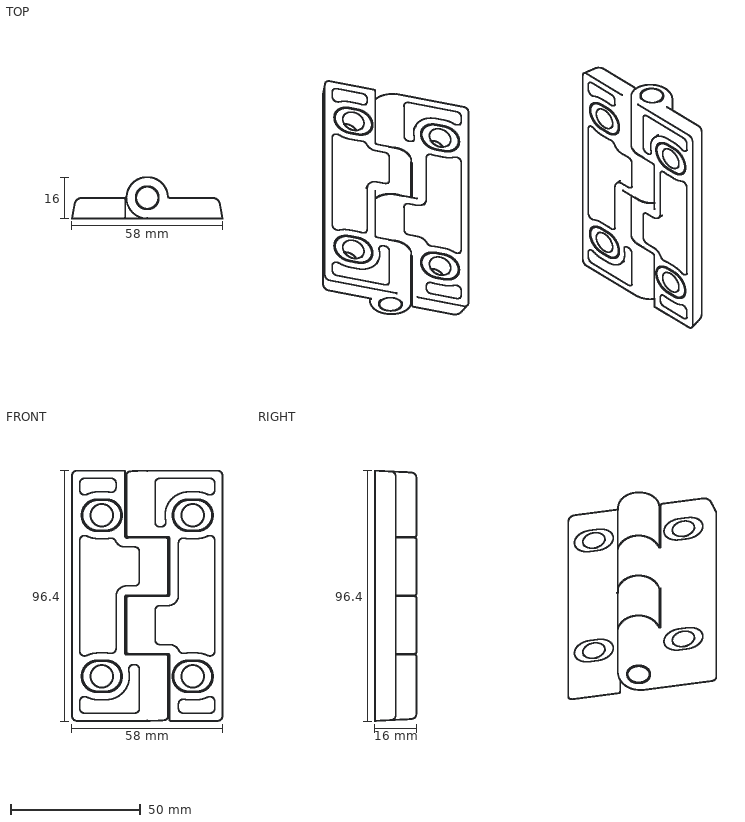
import cadquery as cq
import math


LEAF_REACH = 29.0
HALF_LENGTH = 48.22
PLATE_THICKNESS = 8.0
SIDE_DRAFT = math.radians(10.0)
END_DRAFT = math.radians(3.0)
SIDE_ROUND = 3.0
END_ROUND = 2.0
END_ROUND_RUNOUT = 0.25

KNUCKLE_RADIUS = 8.0
KNUCKLE_ROOT_ROUND = 0.6
JOINT_POSITIONS = (-22.5, 0.0, 22.5)
WASHER_RADIUS = 7.4
WASHER_THICKNESS = 0.35
NOTCH_WALL = 8.5
NOTCH_ROUND = 0.6

PIN_RADIUS = 4.5
PIN_HALF_LENGTH = 47.7
PIN_CHAMFER = 0.3

SCREW_X = 17.5
SCREW_Z = 31.0
SCREW_HOLE_RADIUS = 4.3
BUSHING_END_RADIUS = 5.95
BUSHING_END_SPACING = 3.3
BUSHING_CHAMFER = 0.2
SEAT_RIM_BEVEL = 0.25

POCKET_DEPTH = 3.0
POCKET_FLOOR_ROUND = 1.0
POCKET_CORNER_RADIUS = 1.9
POCKET_BEND_RADIUS = 4.0
BUSHING_WALL_RADIUS = 9.0
POCKET_OUTER_X = -26.0
POCKET_MIDDLE_X = -12.0
POCKET_INNER_X = -3.0
POCKET_END_Z = 45.2
BAY_LOW_Z = 3.8
BAY_HIGH_Z = 18.8
CORNER_POCKET_HIGH_Z = -26.5

MARGIN = 1.0
NEAR = 0.01
CYLINDER_START_ANGLE = 225
FULL_HEIGHT = 2 * KNUCKLE_RADIUS
PIN_AXIS_Y = KNUCKLE_RADIUS
HALF_WASHER = WASHER_THICKNESS / 2
LOW_JOINT, MIDDLE_JOINT, HIGH_JOINT = JOINT_POSITIONS


def box(x_range, y_range, z_range):
    sizes = [high - low for low, high in (x_range, y_range, z_range)]
    corner = cq.Vector(x_range[0], y_range[0], z_range[0])
    return cq.Workplane(cq.Solid.makeBox(*sizes, pnt=corner))


def cylinder_on_pin_axis(radius, length, center_z):
    """The start line of the cylinder is turned down into the left plate."""
    return (
        cq.Workplane("XY", origin=(0, PIN_AXIS_Y, center_z))
        .transformed(rotate=(0, 0, CYLINDER_START_ANGLE))
        .circle(radius)
        .extrude(length / 2, both=True)
    )


def oblong(end_radius, z, depth):
    """Oblong prism on a screw position of the left leaf, standing on the underside."""
    return (
        cq.Workplane("XZ", origin=(-SCREW_X, 0, z))
        .slot2D(BUSHING_END_SPACING + 2 * end_radius, 2 * end_radius)
        .extrude(-depth)
    )




def drafted_ends():
    """Block whose two ends lean inward with height."""
    half_at_foot = HALF_LENGTH + MARGIN * math.tan(END_DRAFT)
    half_at_top = HALF_LENGTH - FULL_HEIGHT * math.tan(END_DRAFT)
    corners = [
        (-MARGIN, -half_at_foot),
        (FULL_HEIGHT, -half_at_top),
        (FULL_HEIGHT, half_at_top),
        (-MARGIN, half_at_foot),
    ]
    return cq.Workplane("YZ").polyline(corners).close().extrude(2 * LEAF_REACH, both=True)


def round_ends(blank):
    """End rounds keep their size along the plate and fade out around the knuckle."""
    rounder = cq.occ_impl.shapes.BRepFilletAPI_MakeFillet(blank.val().wrapped)
    for end_z in (-HALF_LENGTH, HALF_LENGTH):
        on_rim = cq.selectors.NearestToPointSelector((-LEAF_REACH / 2, PLATE_THICKNESS, end_z))
        plate_rim = blank.edges("|X").edges(on_rim).val()
        rounder.Add(END_ROUND, plate_rim.wrapped)
    for rim in range(1, rounder.NbContours() + 1):
        last_edge = rounder.NbEdges(rim)
        if cq.Edge(rounder.Edge(rim, 1)).geomType() == "LINE":
            rounder.SetRadius(END_ROUND, END_ROUND_RUNOUT, rim, last_edge)
        else:
            rounder.SetRadius(END_ROUND_RUNOUT, END_ROUND, rim, 1)
    return cq.Workplane(cq.Shape.cast(rounder.Shape())).solids()


def leaf_blank():
    outer_at_foot = -LEAF_REACH - MARGIN * math.tan(SIDE_DRAFT)
    outer_at_top = -LEAF_REACH + PLATE_THICKNESS * math.tan(SIDE_DRAFT)
    section = [
        (outer_at_foot, -MARGIN),
        (0, -MARGIN),
        (0, PLATE_THICKNESS),
        (outer_at_top, PLATE_THICKNESS),
    ]
    half_stock = HALF_LENGTH + MARGIN
    plate = cq.Workplane("XY").polyline(section).close().extrude(half_stock, both=True)
    plate = plate.edges("|Z").edges(">Y").edges("<X").fillet(SIDE_ROUND)
    blank = plate.union(cylinder_on_pin_axis(KNUCKLE_RADIUS, 2 * half_stock, 0))
    at_root = cq.selectors.NearestToPointSelector((-KNUCKLE_RADIUS, PLATE_THICKNESS, 0))
    blank = blank.edges("|Z").edges(at_root).fillet(KNUCKLE_ROOT_ROUND)
    blank = round_ends(blank.intersect(drafted_ends()))
    overhang = box((-2 * LEAF_REACH, LEAF_REACH), (-2 * MARGIN, 0), (-2 * HALF_LENGTH, 2 * HALF_LENGTH))
    return blank.cut(overhang)


def cut_notch(leaf, z_low, z_high):
    """Clearance for one knuckle of the other leaf, with its rim rounded."""
    space = box((-NOTCH_WALL, FULL_HEIGHT), (-MARGIN, FULL_HEIGHT + MARGIN), (z_low, z_high))
    leaf = leaf.cut(space.edges("|Y and <X").fillet(NOTCH_ROUND))
    in_notch = cq.selectors.BoxSelector(
        (-NOTCH_WALL - NEAR, -NEAR, z_low - NEAR),
        (FULL_HEIGHT, FULL_HEIGHT + NEAR, z_high + NEAR),
        boundingbox=True,
    )
    return leaf.edges(in_notch).edges("not |Y").fillet(NOTCH_ROUND)


def bushing_seat(z):
    """Oblong hole through the plate, widening to a bevelled rim at the underside."""
    hole = oblong(BUSHING_END_RADIUS, z, PLATE_THICKNESS + MARGIN)
    rim_radius = BUSHING_END_RADIUS + SEAT_RIM_BEVEL
    rim = (
        cq.Workplane("XZ", origin=(-SCREW_X, 0, z))
        .slot2D(BUSHING_END_SPACING + 2 * rim_radius, 2 * rim_radius)
        .workplane(offset=-SEAT_RIM_BEVEL)
        .slot2D(BUSHING_END_SPACING + 2 * BUSHING_END_RADIUS, 2 * BUSHING_END_RADIUS)
        .loft()
    )
    return hole.union(rim)




def pocket(*zones):
    """Pocket over the given (x range, z range) zones, kept clear of the bushings."""
    depth_range = (0, POCKET_DEPTH)
    rough = box(zones[0][0], depth_range, zones[0][1])
    for x_range, z_range in zones[1:]:
        rough = rough.union(box(x_range, depth_range, z_range))
    for z in (-SCREW_Z, SCREW_Z):
        rough = rough.cut(oblong(BUSHING_WALL_RADIUS, z, POCKET_DEPTH))
    outline = rough.faces("<Y").wires().val()
    rounded = (
        cq.Workplane("XZ")
        .add(outline)
        .toPending()
        .offset2D(-POCKET_CORNER_RADIUS)
        .offset2D(POCKET_CORNER_RADIUS + POCKET_BEND_RADIUS)
        .offset2D(-POCKET_BEND_RADIUS)
        .extrude(-POCKET_DEPTH)
    )
    return rounded.faces(">Y").edges().fillet(POCKET_FLOOR_ROUND)


def pockets():
    narrow = (POCKET_OUTER_X, POCKET_MIDDLE_X)
    wide = (POCKET_OUTER_X, POCKET_INNER_X)
    bay = (POCKET_MIDDLE_X - MARGIN, POCKET_INNER_X)
    return [
        pocket((narrow, (SCREW_Z, POCKET_END_Z))),
        pocket((narrow, (-SCREW_Z, SCREW_Z)), (bay, (BAY_LOW_Z, BAY_HIGH_Z))),
        pocket((wide, (-POCKET_END_Z, CORNER_POCKET_HIGH_Z))),
    ]




def make_leaf():
    """Left leaf; turned half a turn about Y it is also the right leaf."""
    leaf = leaf_blank()
    leaf = cut_notch(leaf, HIGH_JOINT - HALF_WASHER, 2 * HALF_LENGTH)
    leaf = cut_notch(leaf, LOW_JOINT - HALF_WASHER, MIDDLE_JOINT + HALF_WASHER)
    for recess in pockets():
        leaf = leaf.cut(recess)
    for z in (-SCREW_Z, SCREW_Z):
        leaf = leaf.cut(bushing_seat(z))
    return leaf.cut(cylinder_on_pin_axis(PIN_RADIUS, 4 * HALF_LENGTH, 0))


def make_bushing(z):
    """Bushing of the left leaf, as thick as the plate."""
    bore = cq.Workplane("XZ", origin=(-SCREW_X, 0, z)).circle(SCREW_HOLE_RADIUS).extrude(-PLATE_THICKNESS)
    bushing = oblong(BUSHING_END_RADIUS, z, PLATE_THICKNESS)
    bushing = bushing.faces("<Y").chamfer(BUSHING_CHAMFER)
    return bushing.cut(bore)


def make_washer(z):
    ring = cylinder_on_pin_axis(WASHER_RADIUS, WASHER_THICKNESS, z)
    return ring.cut(cylinder_on_pin_axis(PIN_RADIUS, WASHER_THICKNESS, z))


def half_turn(body):
    """Turn a body of the left leaf into its place on the right leaf."""
    return body.rotate((0, 0, 0), (0, 1, 0), 180)


left_leaf = make_leaf()
right_leaf = half_turn(left_leaf)
pin = cylinder_on_pin_axis(PIN_RADIUS, 2 * PIN_HALF_LENGTH, 0).faces("<Z or >Z").chamfer(PIN_CHAMFER)
bushings = []
for screw_z in (-SCREW_Z, SCREW_Z):
    bushing = make_bushing(screw_z)
    bushings += [bushing, half_turn(bushing)]
washers = [make_washer(joint_z) for joint_z in JOINT_POSITIONS]

bodies = [left_leaf, right_leaf, pin, *bushings, *washers]
result = cq.Compound.makeCompound([body.val() for body in bodies])